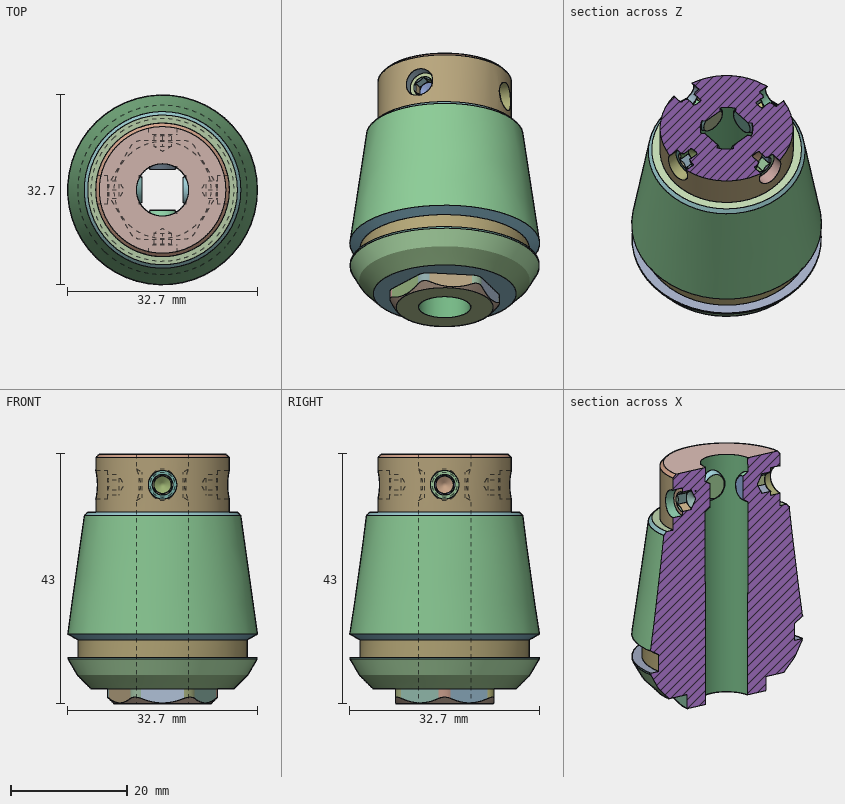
import cadquery as cq
import math

total_height = 43.0
shoulder_z = 33.0
taper_base_z = 12.0
groove_top_z = 11.0
rim_top_z = 8.0
rim_bottom_z = 7.7
nose_break_z = 4.95
nose_bottom_z = 2.55

neck_radius = 23.0 / 2
neck_chamfer = 0.6
taper_base_radius = 32.71 / 2
taper_angle = 8.0
shoulder_chamfer = 0.6
groove_radius = 29.2 / 2
rim_radius = 32.6 / 2
nose_break_radius = 14.7
nose_bottom_radius = nose_break_radius - (nose_break_z - nose_bottom_z)

bore_radius = 9.0 / 2

drive_across_flats = 17.0
drive_corner_radius = 2.1
drive_bottom_radius = 8.35
drive_overlap = 1.0

screw_count = 4
screw_z = 37.7
screw_hole_radius = 4.92 / 2
screw_hole_overshoot = 1.0
screw_radius = 6.0 / 2
screw_tip_distance = 3.5
screw_length = 6.0
screw_tip_radius = 2.15
screw_tip_half_angle = 30.0
socket_across_flats = 3.0
socket_depth = 2.0
socket_mouth_radius = 3.56 / 2
socket_point_radius = socket_across_flats / 2
socket_point_half_angle = 60.0


def hexagon_corner_diameter(across_flats):
    return across_flats / math.cos(math.radians(30))


def make_body():
    """Turned body: tapered shank, grooved collar and stepped neck."""
    taper_top_z = shoulder_z - shoulder_chamfer
    taper_rise = taper_top_z - taper_base_z
    taper_top_radius = taper_base_radius - taper_rise * math.tan(math.radians(taper_angle))
    return (
        cq.Workplane("XZ")
        .moveTo(0, nose_bottom_z)
        .lineTo(nose_bottom_radius, nose_bottom_z)
        .lineTo(nose_break_radius, nose_break_z)
        .lineTo(rim_radius, rim_bottom_z)
        .lineTo(rim_radius, rim_top_z)
        .lineTo(groove_radius, rim_top_z)
        .lineTo(groove_radius, groove_top_z)
        .lineTo(taper_base_radius, taper_base_z)
        .lineTo(taper_top_radius, taper_top_z)
        .lineTo(taper_top_radius - shoulder_chamfer, shoulder_z)
        .lineTo(neck_radius, shoulder_z)
        .lineTo(neck_radius, total_height - neck_chamfer)
        .lineTo(neck_radius - neck_chamfer, total_height)
        .lineTo(0, total_height)
        .close()
        .revolve(360, (0, 0, 0), (0, 1, 0))
    )


def make_hex_drive():
    """Hexagon with rounded corners, its bottom end trimmed by a 45 degree cone."""
    height = nose_bottom_z + drive_overlap
    hexagon = (
        cq.Workplane("XY")
        .polygon(6, hexagon_corner_diameter(drive_across_flats))
        .extrude(height)
        .edges("|Z")
        .fillet(drive_corner_radius)
    )
    cone = cq.Workplane(
        cq.Solid.makeCone(drive_bottom_radius, drive_bottom_radius + height, height)
    )
    return hexagon.intersect(cone)


def make_screw_hole():
    """Radial hole along +X, from the bore axis out through the neck wall."""
    length = neck_radius + screw_hole_overshoot
    return cq.Workplane("YZ").center(0, screw_z).circle(screw_hole_radius).extrude(length)


def make_set_screw():
    """Set screw along +X: tapered tip in the bore, hexagon socket facing outward.

    The screw is wider than its hole, so its thread is embedded in the neck wall.
    """
    tip_step = screw_radius - screw_tip_radius
    tip_length = tip_step / math.tan(math.radians(screw_tip_half_angle))
    screw = (
        cq.Workplane("YZ", origin=(screw_tip_distance, 0, screw_z))
        .circle(screw_radius)
        .extrude(screw_length)
        .faces("<X")
        .chamfer(tip_length, tip_step)
    )
    face_x = screw_tip_distance + screw_length
    floor_x = face_x - socket_depth
    inward = cq.Vector(-1, 0, 0)
    socket = (
        cq.Workplane("YZ", origin=(floor_x, 0, screw_z))
        .transformed(rotate=(0, 0, 90))
        .polygon(6, hexagon_corner_diameter(socket_across_flats))
        .extrude(socket_depth)
    )
    mouth = cq.Solid.makeCone(
        socket_mouth_radius, 0, socket_mouth_radius, cq.Vector(face_x, 0, screw_z), inward
    )
    point_depth = socket_point_radius / math.tan(math.radians(socket_point_half_angle))
    point = cq.Solid.makeCone(
        socket_point_radius, 0, point_depth, cq.Vector(floor_x, 0, screw_z), inward
    )
    return screw.cut(socket).cut(cq.Workplane(mouth)).cut(cq.Workplane(point))


def make_part():
    part = make_body().union(make_hex_drive())
    part = part.cut(cq.Workplane("XY").circle(bore_radius).extrude(total_height))
    hole = make_screw_hole()
    screw = make_set_screw()
    for index in range(screw_count):
        angle = index * 360 / screw_count
        part = part.cut(hole.rotate((0, 0, 0), (0, 0, 1), angle))
        part = part.union(screw.rotate((0, 0, 0), (0, 0, 1), angle))
    return part


result = make_part()